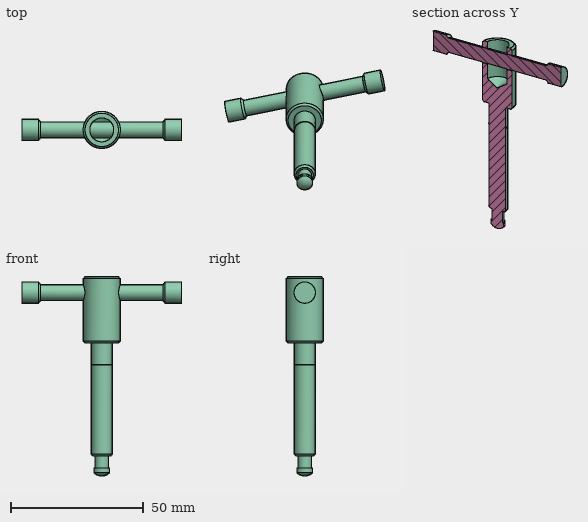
import cadquery as cq
import math

total_height = 75.0
head_diameter = 14.0
head_height = 25.0
head_chamfer = 0.75
shaft_diameter = 8.0
shaft_bottom = 7.5
shaft_chamfer = 0.75
neck_diameter = 5.2
tip_diameter = 6.0
tip_top = 3.0
tip_dome_height = 1.35

groove_width = 0.2
groove_depth = 0.1
groove_level = 41.85

bore_diameter = 9.0
bore_depth = 15.0
drill_point_angle = 118.0

handle_length = 60.0
handle_diameter = 6.0
handle_drop = 6.0
knob_diameter = 8.0
knob_length = 7.05
knob_chamfer = 0.9

head_bottom = total_height - head_height
handle_level = total_height - handle_drop


def make_turned_body():
    """Revolve the head, shaft, neck and domed tip about Z."""
    head_radius = head_diameter / 2
    shaft_radius = shaft_diameter / 2
    neck_radius = neck_diameter / 2
    tip_radius = tip_diameter / 2
    dome_radius = (tip_radius**2 + tip_dome_height**2) / (2 * tip_dome_height)
    half_angle = math.asin(tip_radius / dome_radius) / 2
    dome_middle = (
        dome_radius * math.sin(half_angle),
        dome_radius * (1 - math.cos(half_angle)),
    )
    profile = (
        cq.Workplane("XZ")
        .threePointArc(dome_middle, (tip_radius, tip_dome_height))
        .lineTo(tip_radius, tip_top)
        .lineTo(neck_radius, tip_top)
        .lineTo(neck_radius, shaft_bottom)
        .lineTo(shaft_radius - shaft_chamfer, shaft_bottom)
        .lineTo(shaft_radius, shaft_bottom + shaft_chamfer)
        .lineTo(shaft_radius, head_bottom)
        .lineTo(head_radius - head_chamfer, head_bottom)
        .lineTo(head_radius, head_bottom + head_chamfer)
        .lineTo(head_radius, total_height - head_chamfer)
        .lineTo(head_radius - head_chamfer, total_height)
        .lineTo(0, total_height)
        .close()
    )
    return profile.revolve(360, (0, 0, 0), (0, 1, 0))


def make_shaft_groove():
    """Ring of material removed by the fine shaft groove."""
    return (
        cq.Workplane("XY", origin=(0, 0, groove_level - groove_width / 2))
        .circle(shaft_diameter / 2)
        .circle(shaft_diameter / 2 - groove_depth)
        .extrude(groove_width)
    )


def make_bore():
    """Straight bore from the top face, ending in a drill point."""
    bore_radius = bore_diameter / 2
    bore_floor = total_height - bore_depth
    point_depth = bore_radius / math.tan(math.radians(drill_point_angle / 2))
    return (
        cq.Workplane("XZ")
        .moveTo(0, total_height)
        .lineTo(bore_radius, total_height)
        .lineTo(bore_radius, bore_floor)
        .lineTo(0, bore_floor - point_depth)
        .close()
        .revolve(360, (0, 0, 0), (0, 1, 0))
    )


def make_handle_hole():
    """Cross hole through the head that fits the handle bar."""
    return (
        cq.Workplane("YZ", origin=(0, 0, handle_level))
        .circle(handle_diameter / 2)
        .extrude(head_diameter, both=True)
    )


def make_spindle():
    """Turned spindle with its groove, bore and cross hole."""
    return make_turned_body().cut(make_shaft_groove()).cut(make_bore()).cut(make_handle_hole())


def make_handle():
    """Bar along X with a knob at each end, chamfered on its inner side."""
    half_length = handle_length / 2
    bar_radius = handle_diameter / 2
    knob_radius = knob_diameter / 2
    knob_inner_end = half_length - knob_length
    return (
        cq.Workplane("XY")
        .moveTo(-half_length, 0)
        .lineTo(-half_length, knob_radius)
        .lineTo(-knob_inner_end - knob_chamfer, knob_radius)
        .lineTo(-knob_inner_end, bar_radius)
        .lineTo(knob_inner_end, bar_radius)
        .lineTo(knob_inner_end + knob_chamfer, knob_radius)
        .lineTo(half_length, knob_radius)
        .lineTo(half_length, 0)
        .close()
        .revolve(360, (0, 0, 0), (1, 0, 0))
        .translate((0, 0, handle_level))
    )


spindle = make_spindle()
handle = make_handle()

result = cq.Compound.makeCompound([spindle.val(), handle.val()])